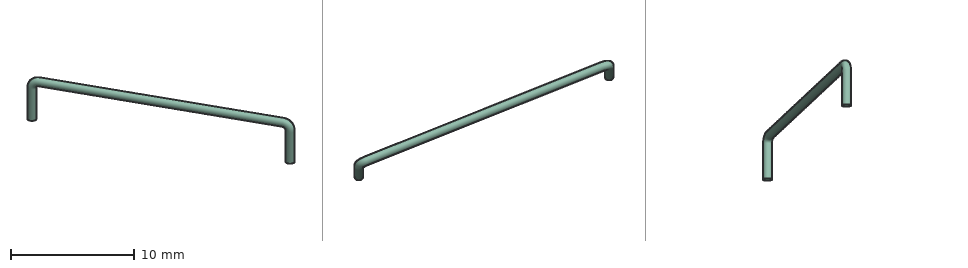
import cadquery as cq

length = 22.75
height = 3.98
wire_diameter = 0.75
outer_bend_radius = 1.0

wire_radius = wire_diameter / 2
bend_radius = outer_bend_radius - wire_radius

leg_x = length / 2 - wire_radius
span_z = height - wire_radius
bend_start_z = span_z - bend_radius
bend_end_x = leg_x - bend_radius

centerline = (
    cq.Workplane("XZ")
    .moveTo(-leg_x, 0)
    .lineTo(-leg_x, bend_start_z)
    .tangentArcPoint((-bend_end_x, span_z), relative=False)
    .lineTo(bend_end_x, span_z)
    .tangentArcPoint((leg_x, bend_start_z), relative=False)
    .lineTo(leg_x, 0)
)

result = (
    cq.Workplane("XY", origin=(-leg_x, 0, 0))
    .circle(wire_radius)
    .sweep(centerline)
)